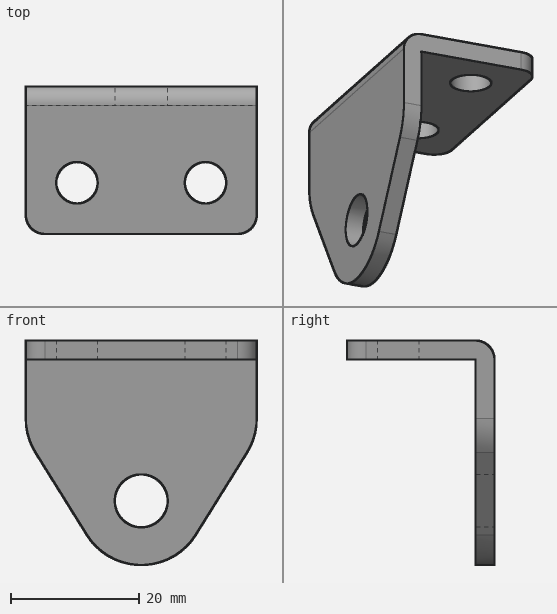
import cadquery as cq
import math

width = 36.0
flange_depth = 23.0
height = 35.0
thickness = 3.0
bend_radius = thickness
flange_corner_radius = 3.0

mount_hole_diameter = 6.4
mount_hole_spacing = 20.0
mount_hole_setback = 8.0

plate_radius = 10.0
shoulder_drop = 12.15
pivot_hole_diameter = 8.2

half_width = width / 2
front_y = -flange_depth
shoulder_x = half_width - plate_radius
shoulder_z = -shoulder_drop
tip_z = plate_radius - height

taper_angle = math.atan2(shoulder_x, shoulder_z - tip_z)


def arc_point(center_x, center_z, angle):
    """Point on a plate arc, at an angle below the +X direction."""
    return (
        center_x + plate_radius * math.cos(angle),
        center_z - plate_radius * math.sin(angle),
    )


def mirrored(point):
    return (-point[0], point[1])


def make_flange():
    """Horizontal flange with rounded free corners and two mounting holes."""
    flange = (
        cq.Workplane("XY")
        .box(width, flange_depth, thickness, centered=(True, False, False))
        .translate((0, front_y, -thickness))
        .edges("|Z and <Y")
        .fillet(flange_corner_radius)
    )
    half_spacing = mount_hole_spacing / 2
    hole_y = front_y + mount_hole_setback
    holes = (
        cq.Workplane("XY")
        .pushPoints([(-half_spacing, hole_y), (half_spacing, hole_y)])
        .circle(mount_hole_diameter / 2)
        .extrude(-thickness)
    )
    return flange.cut(holes)


def make_plate():
    """Vertical plate tapering to a round tip concentric with the pivot hole."""
    shoulder_middle = arc_point(shoulder_x, shoulder_z, taper_angle / 2)
    shoulder_end = arc_point(shoulder_x, shoulder_z, taper_angle)
    tip_start = arc_point(0, tip_z, taper_angle)
    plate = (
        cq.Workplane("XZ")
        .moveTo(-half_width, 0)
        .lineTo(half_width, 0)
        .lineTo(half_width, shoulder_z)
        .threePointArc(shoulder_middle, shoulder_end)
        .lineTo(*tip_start)
        .threePointArc((0, -height), mirrored(tip_start))
        .lineTo(*mirrored(shoulder_end))
        .threePointArc(mirrored(shoulder_middle), (-half_width, shoulder_z))
        .close()
        .extrude(thickness)
    )
    pivot_hole = (
        cq.Workplane("XZ")
        .center(0, tip_z)
        .circle(pivot_hole_diameter / 2)
        .extrude(thickness)
    )
    return plate.cut(pivot_hole)


def bend_corner():
    """Material outside the bend radius, along the top rear edge."""
    corner = (
        cq.Workplane("XY")
        .box(width, bend_radius, bend_radius, centered=(True, False, False))
        .translate((0, -bend_radius, -bend_radius))
    )
    bend = (
        cq.Workplane("YZ", origin=(-half_width, -bend_radius, -bend_radius))
        .circle(bend_radius)
        .extrude(width)
    )
    return corner.cut(bend)


result = make_flange().union(make_plate()).cut(bend_corner())